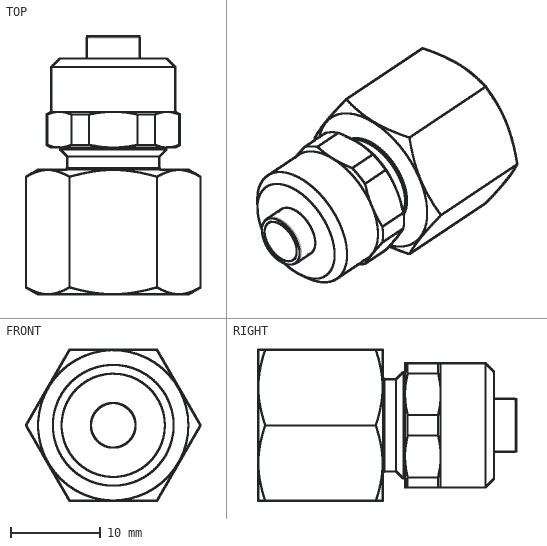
import cadquery as cq
import math

length = 29.0

nut_flats = 17.0
nut_length = 14.0
nut_face_radius = 8.45
hex_chamfer_angle = 30.0

neck_radius = 5.2
flare_length = 0.2
flare_width = 0.12
neck_end = 15.5
collar_radius = 6.0
collar_length = 0.2

clamp_start = 16.5
clamp_hex_length = 4.0
clamp_diameter = 15.0
body_radius = 7.0
body_chamfer = 1.0
clamp_flats = 2 * body_radius
body_end = 26.5

tube_radius = 3.0
tube_edge_length = 0.23
tube_edge_width = 0.05

bore_radius = 5.8
mouth_radius = 6.8
bore_depth = 11.0
drill_point_angle = 118.0
passage_radius = 2.5


def revolve_profile(points):
    """Revolve a closed (radius, y) outline about the Y axis."""
    return cq.Workplane("XY").polyline(points).close().revolve(360, (0, 0, 0), (0, 1, 0))


def chamfered_hex(flats, start, height, outer_radius, face_radius):
    """Hexagon along Y with flats facing Z, trimmed by a cylinder with conical ends."""
    end = start + height
    corner_diameter = flats / math.cos(math.radians(30))
    prism = (
        cq.Workplane("XZ", origin=(0, end, 0))
        .polygon(6, corner_diameter)
        .extrude(height)
    )
    drop = (outer_radius - face_radius) * math.tan(math.radians(hex_chamfer_angle))
    envelope = revolve_profile([
        (0, start),
        (face_radius, start),
        (outer_radius, start + drop),
        (outer_radius, end - drop),
        (face_radius, end),
        (0, end),
    ])
    return prism.intersect(envelope)


def turned_body():
    """Neck, collar, round clamping body and tube stub as one outline."""
    return revolve_profile([
        (0, nut_length),
        (neck_radius + flare_width, nut_length),
        (neck_radius, nut_length + flare_length),
        (neck_radius, neck_end),
        (collar_radius, clamp_start - collar_length),
        (collar_radius, clamp_start),
        (body_radius, clamp_start),
        (body_radius, body_end - body_chamfer),
        (body_radius - body_chamfer, body_end),
        (tube_radius, body_end),
        (tube_radius, length - tube_edge_length),
        (tube_radius - tube_edge_width, length),
        (0, length),
    ])


def passage():
    """Countersunk socket bore with a drill-point bottom, then the hole through the tube."""
    mouth_depth = mouth_radius - bore_radius
    point_depth = (bore_radius - passage_radius) / math.tan(math.radians(drill_point_angle / 2))
    return revolve_profile([
        (0, 0),
        (mouth_radius, 0),
        (bore_radius, mouth_depth),
        (bore_radius, bore_depth),
        (passage_radius, bore_depth + point_depth),
        (passage_radius, length),
        (0, length),
    ])


nut_corner_radius = nut_flats / 2 / math.cos(math.radians(30))
nut = chamfered_hex(nut_flats, 0, nut_length, nut_corner_radius, nut_face_radius)

clamp_hex = chamfered_hex(clamp_flats, clamp_start, clamp_hex_length, clamp_diameter / 2, body_radius)

result = nut.union(turned_body()).union(clamp_hex).cut(passage())